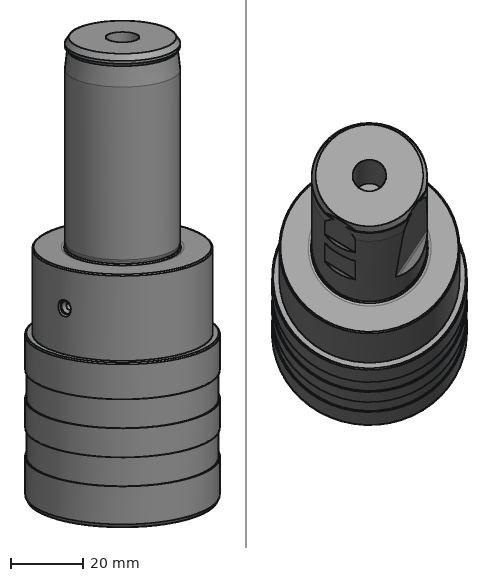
import cadquery as cq
import math

total_height = 134.0
flange_radius = 54.0 / 2
flange_height = 48.0
flange_top_chamfer = 0.4
flange_base_chamfer_height = 1.1
flange_base_chamfer_width = 0.5
band_width = 8.5
band_depth = 0.4
lowest_band_z = 12.0
band_count = 2

body_radius = 50.0 / 2
body_top = 73.0
body_chamfer = 0.4

shank_radius = 32.0 / 2
undercut_height = 1.5
undercut_depth = 0.2
undercut_reach = 1.0

rim_top_radius = 29.7 / 2
rim_chamfer_height = 1.7
rim_height = 0.8
neck_radius = 30.7 / 2
neck_shoulder_height = 1.0
neck_length = 5.8

center_hole_radius = 9.2 / 2
center_hole_depth = 20.1

side_hole_z = 61.4
side_hole_radius = 1.0
side_hole_depth = 5.4
countersink_radius = 2.4
seat_radius = 1.9
seat_depth = 1.1

notch_angle = math.radians(2)
notch_floor_z = 89.5
notch_floor_x = shank_radius - 2.3
notch_corner_radius = 1.9
notch_foot_angle = math.radians(52)

flat_y = shank_radius - 0.8
upper_flat_bottom = 113.8
lower_flat_top = 106.3
lower_flat_bottom = 91.0

cut_margin = 6.7


def revolved_blank():
    """Flange, body and shank as one revolved profile."""
    rim_edge_z = total_height - rim_chamfer_height
    rim_bottom = rim_edge_z - rim_height
    neck_top = rim_bottom - neck_shoulder_height
    groove_radius = shank_radius - undercut_depth
    groove_floor = body_top - undercut_depth
    profile = (
        cq.Workplane("XZ")
        .lineTo(flange_radius - flange_base_chamfer_width, 0)
        .lineTo(flange_radius, flange_base_chamfer_height)
        .lineTo(flange_radius, flange_height - flange_top_chamfer)
        .lineTo(flange_radius - flange_top_chamfer, flange_height)
        .lineTo(body_radius, flange_height)
        .lineTo(body_radius, body_top - body_chamfer)
        .lineTo(body_radius - body_chamfer, body_top)
        .lineTo(shank_radius + undercut_reach, body_top)
        .lineTo(shank_radius + undercut_depth, groove_floor)
        .lineTo(groove_radius, body_top + undercut_depth)
        .lineTo(groove_radius, body_top + undercut_height / 2)
        .lineTo(shank_radius, body_top + undercut_height)
        .lineTo(shank_radius, neck_top - neck_length)
        .lineTo(neck_radius, neck_top)
        .lineTo(shank_radius, rim_bottom)
        .lineTo(shank_radius, rim_edge_z)
        .lineTo(rim_top_radius, total_height)
        .lineTo(0, total_height)
        .close()
    )
    return profile.revolve(360, (0, 0, 0), (0, 1, 0))


def flange_band(bottom_z):
    """Ring that leaves a shallow band around the flange."""
    outer_radius = flange_radius + cut_margin
    return (
        cq.Workplane("XY", origin=(0, 0, bottom_z))
        .circle(outer_radius)
        .circle(flange_radius - band_depth)
        .extrude(band_width)
    )


def center_hole():
    """Blind hole down from the shank end."""
    bottom = cq.Workplane("XY", origin=(0, 0, total_height - center_hole_depth))
    return bottom.circle(center_hole_radius).extrude(center_hole_depth)


def side_hole():
    """Small blind hole with a countersunk, cone-bottomed seat in the -Y side of the body."""
    seat_edge_y = countersink_radius - seat_radius - body_radius
    seat_bottom_y = seat_depth - body_radius
    pilot_edge_y = seat_bottom_y + seat_radius - side_hole_radius
    profile = (
        cq.Workplane("XY", origin=(0, 0, side_hole_z))
        .moveTo(0, side_hole_depth - body_radius)
        .lineTo(side_hole_radius, side_hole_depth - body_radius)
        .lineTo(side_hole_radius, pilot_edge_y)
        .lineTo(seat_radius, seat_bottom_y)
        .lineTo(seat_radius, seat_edge_y)
        .lineTo(countersink_radius + cut_margin, -body_radius - cut_margin)
        .lineTo(0, -body_radius - cut_margin)
        .close()
    )
    return profile.revolve(360, (0, 0, 0), (0, 1, 0))


def inclined_flat():
    """Sloped flat running out at the shank end, with a rounded, steep foot."""
    outer_x = shank_radius + cut_margin
    top_z = total_height + cut_margin
    top_x = notch_floor_x + (top_z - notch_floor_z) * math.tan(notch_angle)
    foot_z = notch_floor_z - (outer_x - notch_floor_x) * math.tan(notch_foot_angle)
    cutter = (
        cq.Workplane("XZ")
        .polyline([
            (-top_x, top_z),
            (-notch_floor_x, notch_floor_z),
            (-outer_x, foot_z),
            (-outer_x, top_z),
        ])
        .close()
        .extrude(shank_radius, both=True)
    )
    floor_corner = cq.selectors.NearestToPointSelector((-notch_floor_x, 0, notch_floor_z))
    return cutter.edges(floor_corner).fillet(notch_corner_radius)


def shallow_flat(bottom_z, top_z):
    """Flat on the +Y side whose two ends rise at 45 degrees."""
    flare = cut_margin
    return (
        cq.Workplane("YZ")
        .polyline([
            (flat_y, bottom_z),
            (flat_y, top_z),
            (flat_y + flare, top_z + flare),
            (flat_y + flare, bottom_z - flare),
        ])
        .close()
        .extrude(shank_radius, both=True)
    )


result = revolved_blank()
for band in range(band_count):
    result = result.cut(flange_band(lowest_band_z + 2 * band * band_width))
result = result.cut(center_hole())
result = result.cut(side_hole())
result = result.cut(inclined_flat())
result = result.cut(shallow_flat(upper_flat_bottom, total_height))
result = result.cut(shallow_flat(lower_flat_bottom, lower_flat_top))